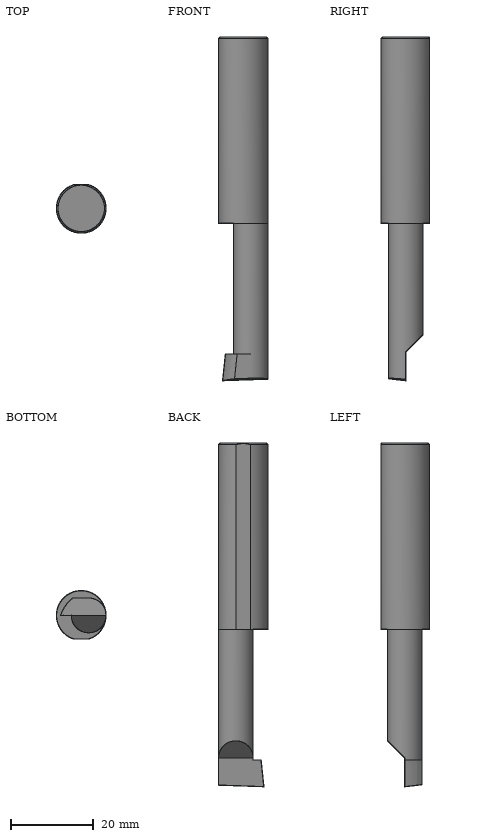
import cadquery as cq
import math


overall_length = 83.0
shank_length = 45.0
shank_radius = 6.0
shank_chamfer = 0.4
clamping_flat_y = 5.75

neck_radius = 4.2
neck_x = shank_radius - neck_radius
neck_top_z = overall_length - shank_length

rake_face_y = 0.0
rake_face_top_z = 6.9
relief_run_out_angle = 45.0

tip_x = -5.0
head_top_z = 6.5
head_lean_angle = 6.0
flank_width = 1.65
flank_depth = 3.0
flank_bulge = 0.15
heel_width = 1.2
back_y = -neck_radius

end_rise_angle_x = 2.0
end_rise_angle_y = 5.5


def slope(angle):
    return math.tan(math.radians(angle))


def make_shank():
    shank = (
        cq.Workplane("XY")
        .workplane(offset=neck_top_z)
        .circle(shank_radius)
        .extrude(shank_length)
        .faces(">Z")
        .chamfer(shank_chamfer)
    )
    beyond_flat = (
        cq.Workplane("XY")
        .workplane(offset=neck_top_z)
        .center(0, clamping_flat_y + shank_radius / 2)
        .rect(2 * shank_radius, shank_radius)
        .extrude(shank_length)
    )
    return shank.cut(beyond_flat)


def make_neck():
    neck = cq.Workplane("XY").center(neck_x, 0).circle(neck_radius).extrude(neck_top_z)
    relief_depth = 2 * neck_radius
    relief_outer_z = rake_face_top_z + relief_depth * slope(relief_run_out_angle)
    relief = (
        cq.Workplane("YZ")
        .moveTo(rake_face_y, 0)
        .lineTo(rake_face_y, rake_face_top_z)
        .lineTo(rake_face_y + relief_depth, relief_outer_z)
        .lineTo(rake_face_y + relief_depth, 0)
        .close()
        .extrude(2 * shank_radius, both=True)
    )
    return neck.cut(relief)


def make_head():
    """Leaning prism with a curved flank, a flat heel and a back tangent to the neck."""
    flank_end_x = tip_x + flank_width
    flank_length = math.hypot(flank_width, flank_depth)
    flank_middle_x = tip_x + flank_width / 2 - flank_bulge * flank_depth / flank_length
    flank_middle_y = rake_face_y - flank_depth / 2 - flank_bulge * flank_width / flank_length
    lean = head_top_z * slope(head_lean_angle)
    outline = (
        cq.Workplane("XY")
        .moveTo(tip_x, rake_face_y)
        .threePointArc((flank_middle_x, flank_middle_y), (flank_end_x, rake_face_y - flank_depth))
        .lineTo(flank_end_x + heel_width, back_y)
        .lineTo(neck_x, back_y)
        .lineTo(neck_x, rake_face_y)
        .close()
        .wires()
        .val()
    )
    prism = cq.Solid.extrudeLinear(outline, [], cq.Vector(lean, 0, head_top_z))
    beyond_back = (
        cq.Workplane("XY")
        .box(lean, neck_radius, head_top_z, centered=False)
        .translate((neck_x, back_y, 0))
    )
    return cq.Workplane("XY").newObject([prism]).cut(beyond_back)


def make_end_cutter():
    """Solid below the tilted end face, which passes through the cutting tip."""
    normal = cq.Vector(-slope(end_rise_angle_x), slope(end_rise_angle_y), 1)
    end_plane = cq.Plane(origin=(tip_x, rake_face_y, 0), normal=normal)
    cutter_size = overall_length
    return cq.Workplane(end_plane).rect(cutter_size, cutter_size).extrude(-cutter_size)


result = make_shank().union(make_neck()).union(make_head()).cut(make_end_cutter())